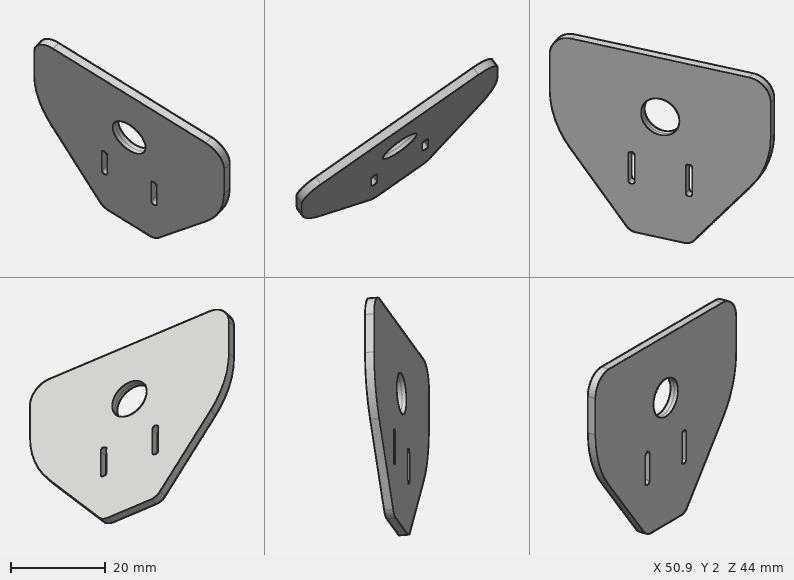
import cadquery as cq

width = 50.9
height = 43.95
thickness = 2.0
bottom_width = 13.85
shoulder_drop = 20.95

top_radius = 5.0
shoulder_radius = 21.2
bottom_radius = 3.0

hole_diameter = 8.8
hole_drop = 14.4

slot_spacing = 13.25
slot_length = 7.75
slot_width = 1.5
slot_drop = 28.4


def rounded_plate():
    """Extrude the straight-sided outline and round its three pairs of corners."""
    shoulder_z = height - shoulder_drop
    plate = (
        cq.Workplane("XZ")
        .moveTo(-bottom_width / 2, 0)
        .lineTo(bottom_width / 2, 0)
        .lineTo(width / 2, shoulder_z)
        .lineTo(width / 2, height)
        .lineTo(-width / 2, height)
        .lineTo(-width / 2, shoulder_z)
        .close()
        .extrude(thickness / 2, both=True)
    )
    corners = [
        (width / 2, height, top_radius),
        (width / 2, shoulder_z, shoulder_radius),
        (bottom_width / 2, 0, bottom_radius),
    ]
    for x, z, radius in corners:
        for side in (-1, 1):
            nearest = cq.selectors.NearestToPointSelector((side * x, 0, z))
            plate = plate.edges("|Y").edges(nearest).fillet(radius)
    return plate


def hole_cutter():
    return (
        cq.Workplane("XZ")
        .center(0, height - hole_drop)
        .circle(hole_diameter / 2)
        .extrude(thickness, both=True)
    )


def slot_cutters():
    return (
        cq.Workplane("XZ")
        .center(0, height - slot_drop)
        .pushPoints([(-slot_spacing / 2, 0), (slot_spacing / 2, 0)])
        .slot2D(slot_length, slot_width, 90)
        .extrude(thickness, both=True)
    )


result = rounded_plate().cut(hole_cutter()).cut(slot_cutters())